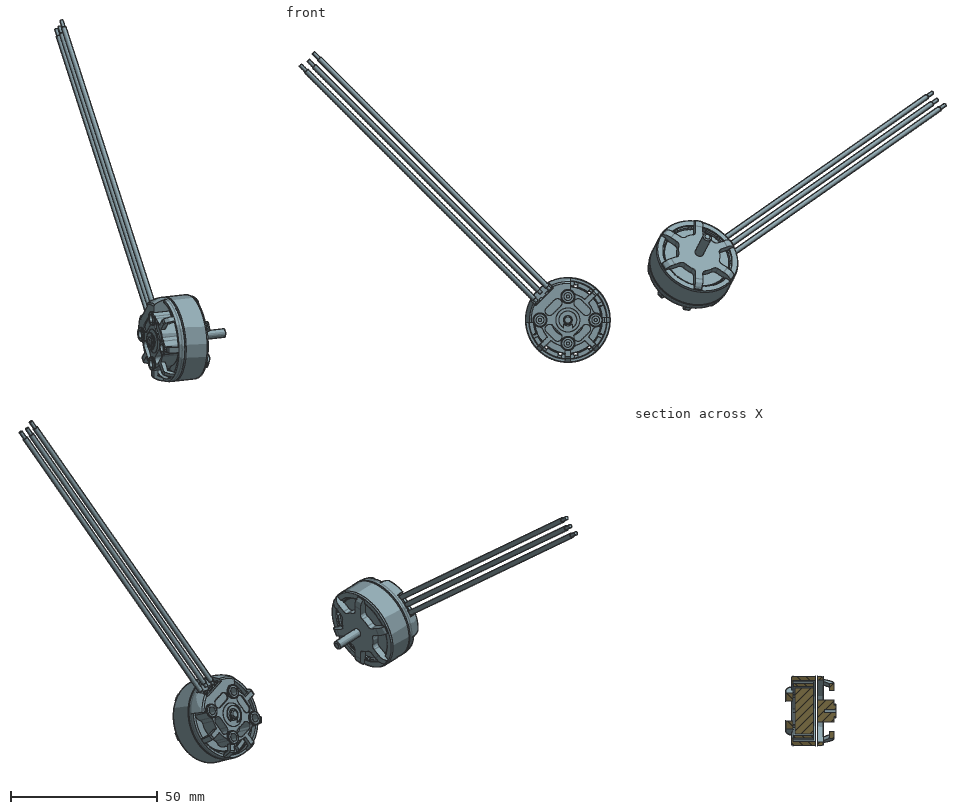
import cadquery as cq


motor_radius = 14.5
overrun = 1.0

shaft_radius = 1.5
shaft_tip_y = 26.7
shaft_end_y = -1.5
shaft_tip_chamfer = 0.6
shaft_end_chamfer = 0.4
clip_radius = 3.05
clip_thickness = 0.35
clip_y = -1.0
clip_opening = 3.0

bell_bottom_y = 6.3
bell_edge_y = 14.0
bell_lip_y = 14.6
bell_top_y = 16.55
bell_lip_radius = 14.2
bell_inner_radius = 13.2
dome_flat_radius = 10.8
dome_mid_radius = 13.1
dome_mid_y = 16.05
dome_radius = 14.1
dome_edge_y = 15.1
bell_hub_radius = 7.35
bell_window_radius = 12.3
bell_spoke_width = 2.6
bell_spoke_fillet = 1.5
bell_spoke_angles = [30 + 60 * i for i in range(6)]
magnet_count = 14
magnet_inner_radius = 11.7
magnet_gap = 1.2
magnet_bottom_y = 7.0

ring_top_y = 5.73
ring_step_y = 4.8
ring_bottom_y = 3.7
ring_bottom_radius = 14.3
ring_inner_radius = 13.4
hub_radius = 9.1
boss_root_fillet = 1.5
spoke_width = 1.8
spoke_thickness = 1.6
spoke_angles = [45, 0, -45, -90, -135]
leg_inner_radius = 12.3
leg_mid_radius = 13.85
leg_mid_y = 1.9
sector_mid_radius = 14.0
sector_mid_y = 2.2
foot_radius = 13.1
foot_edge_y = 0.4
foot_face_radius = 12.5
core_radius = 5.6
stator_radius = 11.4
stator_bottom_y = 7.0
stator_top_y = 13.4
bearing_radius = 4.1
bearing_recess = 0.1
washer_radius = 2.0

boss_radius = 2.4
boss_height = 0.7
boss_chamfer = 0.3
boss_spacing_x = 19.0
boss_spacing_z = 16.0
screw_hole_radius = 1.35
screw_hole_depth = 4.0
screw_pilot_radius = 0.55
screw_pilot_depth = 5.0

slot_length = 6.9
slot_width = 3.0
slot_x = 4.9
slot_z = 4.4
shallow_slot_depth = 0.5

wire_angle = 135
wire_spacing = 3.05
wire_offsets = [-wire_spacing, 0, wire_spacing]
wire_radius = 0.85
conductor_radius = 0.6
wire_y = 2.95
bare_tip_length = 2.8
wire_starts = [13.2, 14.2, 12.9]
wire_tips = [126.0, 125.2, 125.8]
bare_stub_length = 1.3
pocket_wall = 11.9
pocket_width = 8.6
pocket_step_wall = 11.2
pocket_step_y = 1.6
notch_wall = 11.4
notch_width = 1.9


def disc(radius, y_from, y_to):
    return cq.Workplane("XZ", origin=(0, y_from, 0)).circle(radius).extrude(y_from - y_to)


def turned(shape, angle):
    return shape.rotate((0, 0, 0), (0, 1, 0), -angle)


def block(r_from, r_to, y_from, y_to, width):
    """Box reaching out along +X from r_from to r_to, centred on Z = 0."""
    box = cq.Workplane("XY").box(r_to - r_from, y_to - y_from, width, centered=(False, False, True))
    return box.translate((r_from, y_from, 0))


def make_shaft():
    shaft = disc(shaft_radius, shaft_end_y, shaft_tip_y)
    shaft = shaft.faces(">Y").chamfer(shaft_tip_chamfer / 2, shaft_tip_chamfer)
    shaft = shaft.faces("<Y").chamfer(shaft_end_chamfer)
    clip_top_y = clip_y + clip_thickness
    opening = turned(block(shaft_radius, clip_radius + overrun, clip_y, clip_top_y, clip_opening), -90)
    clip = disc(clip_radius, clip_y, clip_top_y).cut(opening)
    return shaft.union(clip)


def bell_window_cutter():
    """Six windows between the spokes, open to the outside above the lip."""
    cutter_radius = motor_radius + overrun
    cut_from = bell_edge_y - overrun
    cut_to = bell_top_y + overrun
    through = disc(bell_window_radius, cut_from, cut_to)
    above_lip = disc(cutter_radius, bell_lip_y, cut_to)
    hub = disc(bell_hub_radius, cut_from, cut_to)
    cutter = through.union(above_lip).cut(hub)
    for angle in bell_spoke_angles:
        spoke = block(shaft_radius, cutter_radius + overrun, cut_from, cut_to, bell_spoke_width)
        cutter = cutter.cut(turned(spoke, angle))
    corner = bell_hub_radius + bell_spoke_fillet
    inner_edges = cq.selectors.BoxSelector((-corner, 0, -corner), (corner, 2 * bell_top_y, corner))
    return cutter.edges("|Y").edges(inner_edges).fillet(bell_spoke_fillet)


def make_bell():
    bell = (
        cq.Workplane("XY")
        .moveTo(shaft_radius, bell_top_y)
        .lineTo(dome_flat_radius, bell_top_y)
        .threePointArc((dome_mid_radius, dome_mid_y), (dome_radius, dome_edge_y))
        .lineTo(dome_radius, bell_lip_y)
        .lineTo(bell_lip_radius, bell_lip_y)
        .lineTo(motor_radius, bell_edge_y)
        .lineTo(motor_radius, bell_bottom_y)
        .lineTo(bell_inner_radius, bell_bottom_y)
        .lineTo(bell_inner_radius, bell_edge_y)
        .lineTo(shaft_radius, bell_edge_y)
        .close()
        .revolve(360, (0, 0), (0, 1))
    )
    bell = bell.cut(bell_window_cutter())
    magnets = disc(bell_inner_radius, magnet_bottom_y, bell_edge_y)
    magnets = magnets.cut(disc(magnet_inner_radius, magnet_bottom_y, bell_edge_y))
    gap = block(0, motor_radius, magnet_bottom_y, bell_edge_y, magnet_gap)
    for i in range(magnet_count):
        magnets = magnets.cut(turned(gap, 360 / magnet_count * i))
    return bell.union(magnets)


def base_ring():
    return (
        cq.Workplane("XY")
        .moveTo(ring_inner_radius, ring_top_y)
        .lineTo(motor_radius, ring_top_y)
        .lineTo(motor_radius, ring_step_y)
        .lineTo(ring_bottom_radius, ring_bottom_y)
        .lineTo(ring_inner_radius, ring_bottom_y)
        .close()
        .revolve(360, (0, 0), (0, 1))
    )


def foot_outline(start_y):
    """Open outline from the axis at start_y, along the mounting face and out to the foot's outer edge."""
    return (
        cq.Workplane("XY")
        .moveTo(0, start_y)
        .lineTo(0, 0)
        .lineTo(foot_face_radius, 0)
        .lineTo(foot_radius, foot_edge_y)
    )


def sector_outline():
    return (
        foot_outline(ring_top_y)
        .threePointArc((sector_mid_radius, sector_mid_y), (motor_radius, ring_step_y))
        .lineTo(motor_radius, ring_top_y)
        .close()
    )


def arched_spoke():
    return (
        foot_outline(spoke_thickness)
        .threePointArc((leg_mid_radius, leg_mid_y), (ring_bottom_radius, ring_bottom_y))
        .lineTo(ring_inner_radius, ring_bottom_y)
        .lineTo(leg_inner_radius, spoke_thickness)
        .lineTo(0, spoke_thickness)
        .close()
        .extrude(spoke_width / 2, both=True)
    )


def wire_sector():
    """Solid quarter on the -X +Z side, widened by half a spoke at both ends."""
    size = 2 * motor_radius
    half_spoke = spoke_width / 2
    bounds = cq.Workplane("XY").box(size, size, size).translate(
        (half_spoke - motor_radius, 0, motor_radius - half_spoke)
    )
    return sector_outline().revolve(360, (0, 0), (0, 1)).intersect(bounds)


def boss_places():
    x = boss_spacing_x / 2
    z = boss_spacing_z / 2
    return [(x, 0), (0, z), (-x, 0), (0, -z)]


def hub_with_bosses():
    """Hub and four boss columns, filleted where the columns run into the hub."""
    body = disc(hub_radius, 0, ring_top_y)
    for x, z in boss_places():
        body = body.union(disc(boss_radius, 0, ring_top_y).translate((x, 0, z)))
    body = body.edges("|Y").fillet(boss_root_fillet)
    cap = disc(boss_radius, -boss_height, 0).faces("<Y").chamfer(boss_chamfer)
    for x, z in boss_places():
        body = body.union(cap.translate((x, 0, z)))
    return body


def screw_hole_cutter():
    hole = disc(screw_hole_radius, -boss_height, screw_hole_depth - boss_height)
    hole = hole.union(disc(screw_pilot_radius, -boss_height, screw_pilot_depth - boss_height))
    group = cq.Workplane("XZ")
    for x, z in boss_places():
        group = group.union(hole.translate((x, 0, z)))
    return group


def slot_cutter():
    group = cq.Workplane("XZ")
    for side_z, depth in ((1, shallow_slot_depth), (-1, stator_bottom_y)):
        for side_x in (1, -1):
            slot = (
                cq.Workplane("XZ")
                .center(side_x * slot_x, side_z * slot_z)
                .slot2D(slot_length, slot_width, -45 * side_x * side_z)
                .extrude(-depth)
            )
            group = group.union(slot)
    return group


def wire_pocket():
    """Pocket open outward and to the mounting face, stepped inward there, with a notch for each wire."""
    outside = motor_radius + overrun
    pocket = block(pocket_wall, outside, 0, ring_bottom_y, pocket_width)
    pocket = pocket.union(block(pocket_step_wall, outside, 0, pocket_step_y, pocket_width))
    notch = block(notch_wall, outside, 0, ring_bottom_y, notch_width)
    for across in wire_offsets:
        pocket = pocket.union(notch.translate((0, 0, -across)))
    return turned(pocket, wire_angle)


def wires():
    group = cq.Workplane("YZ")
    for across, start, tip in zip(wire_offsets, wire_starts, wire_tips):
        bare_start = start - bare_stub_length
        sleeve_length = tip - bare_tip_length - start
        conductor = cq.Workplane("YZ", origin=(bare_start, wire_y, -across))
        conductor = conductor.circle(conductor_radius).extrude(tip - bare_start)
        sleeve = cq.Workplane("YZ", origin=(start, wire_y, -across))
        sleeve = sleeve.circle(wire_radius).extrude(sleeve_length)
        group = group.union(turned(conductor.union(sleeve), wire_angle))
    return group


def make_base():
    base = base_ring().union(hub_with_bosses())
    for angle in spoke_angles:
        base = base.union(turned(arched_spoke(), angle))
    base = base.union(wire_sector())
    base = base.cut(slot_cutter()).cut(screw_hole_cutter()).cut(wire_pocket())

    core = disc(core_radius, ring_top_y, stator_top_y)
    stator = disc(stator_radius, stator_bottom_y, stator_top_y)
    washer = disc(washer_radius, clip_y + clip_thickness, bearing_recess)
    base = base.cut(disc(bearing_radius, 0, bearing_recess))
    base = base.union(core).union(stator).union(washer).union(wires())
    return base.cut(disc(shaft_radius, shaft_end_y, shaft_tip_y))


shaft = make_shaft()
bell = make_bell()
base = make_base()

result = cq.Compound.makeCompound([base.val(), bell.val(), shaft.val()])